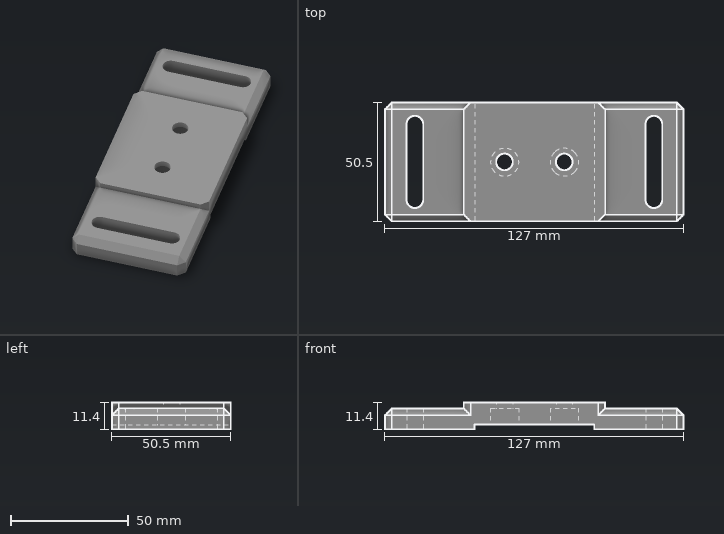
import cadquery as cq

length = 127.0
width = 50.5
height = 11.4

wing_height = 8.9
block_length = 60.1
bevel = 2.9

channel_length = 50.8
channel_depth = 2.0

hole_diameter = 7.0
hole_spacing = 25.4
head_recess_diameter = 12.0
hole_neck_depth = 2.5
slot_spacing = 101.6
slot_length = 39.1


def bottom_box(size_x, size_z):
    """Full-width box centred in X and Y, standing on Z = 0, with bevelled upright corners."""
    box = cq.Workplane("XY").box(size_x, width, size_z, centered=(True, True, False))
    return box.edges("|Z").chamfer(bevel)


def wing_plate():
    """Long plate with upright corners and top rim bevelled together, meeting in corner triangles."""
    plate = cq.Workplane("XY").box(length, width, wing_height, centered=(True, True, False))
    return plate.edges("|Z or >Z").chamfer(bevel)


def underside_channel():
    return cq.Workplane("XY").box(channel_length, width, channel_depth, centered=(True, True, False))


def bolt_holes():
    """Two through holes along X, each widened from below to take a bolt head."""
    half_spacing = hole_spacing / 2
    centres = cq.Workplane("XY").pushPoints([(-half_spacing, 0), (half_spacing, 0)])
    shanks = centres.circle(hole_diameter / 2).extrude(height)
    head_recesses = centres.circle(head_recess_diameter / 2).extrude(height - hole_neck_depth)
    return shanks.union(head_recesses)


def end_slots():
    """Rounded slots along Y, one through each wing."""
    half_spacing = slot_spacing / 2
    slots = cq.Workplane("XY").pushPoints([(-half_spacing, 0), (half_spacing, 0)])
    return slots.slot2D(slot_length, hole_diameter, angle=90).extrude(height)


raised_block = bottom_box(block_length, height)
body = wing_plate().union(raised_block).clean()
result = body.cut(underside_channel()).cut(bolt_holes()).cut(end_slots())